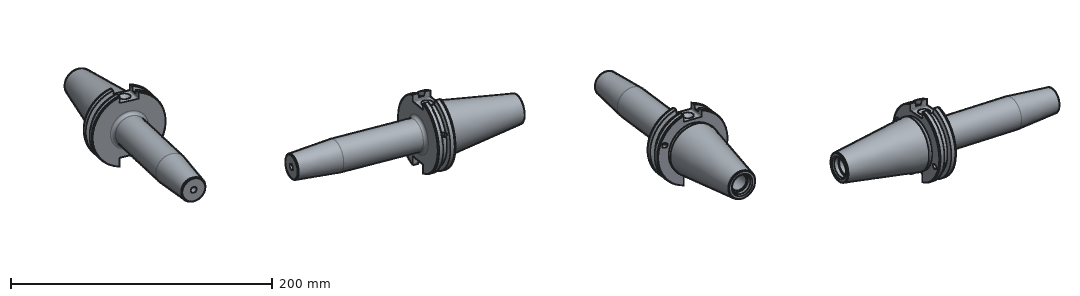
import cadquery as cq
import math

total_length = 198.2
gauge_x = 68.4
flange_front_x = 71.5
flange_back_x = 87.5
groove_x = (flange_front_x + flange_back_x) / 2
cross_hole_x = 79.1
nose_taper_x = 160.0

gauge_radius = 22.2
taper_end_radius = gauge_radius - gauge_x * 7 / 48
taper_end_chamfer = 0.5
neck_radius = 21.8
neck_step = 1.4

flange_radius = 31.62
flange_chamfer = 1.2
flange_chamfer_height = 0.4
groove_floor_radius = 28.2
groove_floor_width = 4.0
groove_mouth_width = 6.3

shank_radius = 13.5
shank_fillet = 2.8
nose_radius = 10.5
nose_chamfer = 0.8

slot_width = 16.3
slot_corner_radius = 0.5
upper_slot_floor = 25.0
lower_slot_floor = 22.5
dimple_diameter = 9.5
dimple_depth = 2.8

through_diameter = 5.0
thread_diameter = 13.5
pilot_diameter = 16.3
mouth_diameter = 18.6
mouth_chamfer = (mouth_diameter - pilot_diameter) / 2
pilot_depth = 5.0
thread_depth = 29.7
drill_point_half_angle = math.radians(59)

coolant_diameter = 4.0
coolant_angle = 20.0
coolant_pitch_radius = 27.0
coolant_tilt = 38.0


def make_body():
    """Revolve the outer outline about the X axis."""
    floor_half = groove_floor_width / 2
    mouth_half = groove_mouth_width / 2
    rim_radius = flange_radius - flange_chamfer_height
    bend = shank_fillet * (1 - math.sqrt(0.5))
    return (
        cq.Workplane("XY")
        .moveTo(0, 0)
        .lineTo(0, taper_end_radius - taper_end_chamfer)
        .lineTo(taper_end_chamfer, taper_end_radius)
        .lineTo(gauge_x, gauge_radius)
        .lineTo(gauge_x + neck_step, neck_radius)
        .lineTo(flange_front_x, neck_radius)
        .lineTo(flange_front_x, rim_radius)
        .lineTo(flange_front_x + flange_chamfer, flange_radius)
        .lineTo(groove_x - mouth_half, flange_radius)
        .lineTo(groove_x - floor_half, groove_floor_radius)
        .lineTo(groove_x + floor_half, groove_floor_radius)
        .lineTo(groove_x + mouth_half, flange_radius)
        .lineTo(flange_back_x - flange_chamfer, flange_radius)
        .lineTo(flange_back_x, rim_radius)
        .lineTo(flange_back_x, shank_radius + shank_fillet)
        .threePointArc(
            (flange_back_x + bend, shank_radius + bend),
            (flange_back_x + shank_fillet, shank_radius),
        )
        .lineTo(nose_taper_x, shank_radius)
        .lineTo(total_length - nose_chamfer, nose_radius)
        .lineTo(total_length, nose_radius - nose_chamfer)
        .lineTo(total_length, 0)
        .close()
        .revolve(360, (0, 0, 0), (1, 0, 0))
    )


def make_bore():
    """Chamfered pilot, thread core with a drill point, and a through hole."""
    through_radius = through_diameter / 2
    thread_radius = thread_diameter / 2
    point_length = (thread_radius - through_radius) / math.tan(drill_point_half_angle)
    return (
        cq.Workplane("XY")
        .moveTo(0, 0)
        .lineTo(0, mouth_diameter / 2)
        .lineTo(mouth_chamfer, pilot_diameter / 2)
        .lineTo(pilot_depth, pilot_diameter / 2)
        .lineTo(pilot_depth, thread_radius)
        .lineTo(thread_depth, thread_radius)
        .lineTo(thread_depth + point_length, through_radius)
        .lineTo(total_length, through_radius)
        .lineTo(total_length, 0)
        .close()
        .revolve(360, (0, 0, 0), (1, 0, 0))
    )


def make_slot(floor, side):
    """Drive slot with rounded floor corners across the flange; side is +1 above the axis, -1 below."""
    depth = flange_radius - floor
    middle = side * (floor + depth / 2)
    return (
        cq.Workplane("XY")
        .box(flange_back_x - flange_front_x, slot_width, depth)
        .faces("<Z" if side > 0 else ">Z")
        .edges("|X")
        .fillet(slot_corner_radius)
        .translate((groove_x, 0, middle))
    )


def make_dimple():
    """Conical dimple in the floor of the upper drive slot."""
    center = cq.Vector(cross_hole_x, 0, upper_slot_floor)
    cone = cq.Solid.makeCone(dimple_diameter / 2, 0, dimple_depth, center, cq.Vector(0, 0, -1))
    return cq.Workplane(cone)


def make_coolant_hole(angle):
    """Inclined hole from the flange face running down into a radial hole from the groove."""
    radius = coolant_diameter / 2
    outward = cq.Vector(0, math.cos(math.radians(angle)), math.sin(math.radians(angle)))
    tilt = math.radians(coolant_tilt)
    axis = cq.Vector(math.cos(tilt), 0, 0) - outward * math.sin(tilt)
    entry = outward * coolant_pitch_radius + cq.Vector(flange_front_x, 0, 0)
    run = (cross_hole_x - flange_front_x) / math.cos(tilt)
    inclined = cq.Solid.makeCylinder(radius, run + radius, entry - axis * radius, axis)
    meeting_radius = coolant_pitch_radius - run * math.sin(tilt)
    radial = cq.Solid.makeCylinder(
        radius,
        flange_radius - meeting_radius,
        outward * meeting_radius + cq.Vector(cross_hole_x, 0, 0),
        outward,
    )
    return cq.Workplane(inclined).union(cq.Workplane(radial))


result = make_body().cut(make_bore())
result = result.cut(make_slot(upper_slot_floor, 1))
result = result.cut(make_slot(lower_slot_floor, -1))
result = result.cut(make_dimple())
for hole_angle in (coolant_angle, coolant_angle + 180):
    result = result.cut(make_coolant_hole(hole_angle))